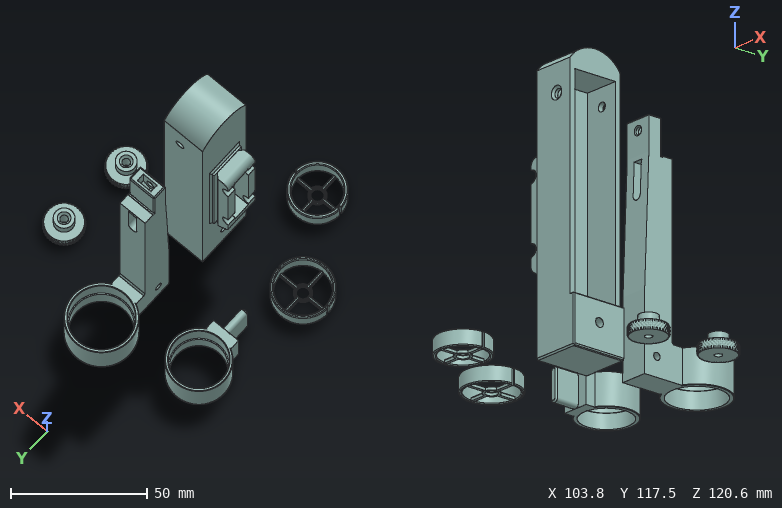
import cadquery as cq
import math


tower_height = 120.58
tower_width = 24.3
tower_depth = 18.7
dome_rise = 6.4
foot_depth = 21.1
foot_height = 21.0
foot_taper_length = 0.85
foot_taper_inset = 0.3
tower_wall = 2.25
tower_back_wall = 3.0
tower_roof = 4.0
clamp_hole_diameter = 3.75
clamp_hole_mouth = 5.65
clamp_hole_x = 11.0
clamp_hole_z = 102.4
foot_hole_diameter = 3.75
foot_hole_z = 11.9

shoe_reach = 8.5
shoe_width = 15.2
shoe_flare = 0.8
shoe_block_margin = 0.1
shoe_top = 83.2
shoe_bottom = 33.0
shoe_ramp_angle = 35.0
shoe_nose_radius = 3.0
undercut_inner_x = 1.7
undercut_outer_x = 3.55
undercut_depth = 1.8
cross_groove_radius = 2.7
cross_groove_heights = (47.0, 76.1)
channel_width = 7.4
channel_bottom = 43.2
channel_top = 79.7
channel_depth = 7.0

mount_width = 12.25
ring_chamfer = 0.25
seat_depth = 7.5

arm_x = 10.1
arm_front_y = 26.25
arm_back_y = 39.7
arm_neck_front_y = 28.3
arm_neck_back_y = 34.6
arm_height = 103.0
arm_shoulder_z = 88.0
arm_taper_bottom_z = 33.5
arm_neck_chamfer = 0.5
arm_root_chamfer = 0.7
relief_width = 0.6
relief_depth = 0.4
nut_pocket_length = 6.6
nut_pocket_width = 3.3
nut_pocket_y = 31.5
adjuster_slot_width = 4.0
adjuster_slot_top = 86.2
adjuster_slot_bottom = 70.6
neck_hole_diameter = 3.1
neck_hole_mouth = 4.0
neck_hole_z = 98.1
arm_hole_diameter = 3.1
arm_hole_y = 32.2
arm_hole_z = 8.3
big_ring_y = 57.03
big_ring_outer = 27.6
big_ring_bore = 24.0
big_ring_seat = 25.0
big_ring_height = 15.0

small_ring_x = -27.45
small_ring_y = 45.7
small_ring_outer = 25.0
small_ring_bore = 21.5
small_ring_seat = 22.5
small_ring_height = 14.0
small_block_front_y = 30.5
tongue_front_y = 19.75
tongue_width = 3.4
tongue_fillet = 1.5
tongue_end_chamfer = 0.7

crosshair_height = 6.75
crosshair_chamfer = 0.4
spoke_chamfer = 0.3
spoke_width = 1.2
spoke_height = 1.5
spoke_count = 4
hub_outer = 7.0
hub_bore = 5.0
notch_width = 1.2
notch_depth = 0.8
large_crosshair = {"outer": 24.4, "bore": 21.75, "place": (-35.77, -2.95)}
small_crosshair = {"outer": 22.6, "bore": 19.5, "place": (-14.55, -35.37)}

knob_places = ((47.85, 34.6), (45.3, 2.8))
knob_tip_diameter = 16.0
knob_root_diameter = 15.0
knob_flange_height = 4.1
knob_height = 8.1
knob_boss_diameter = 8.0
knob_bore = 3.1
knob_bore_mouth = 5.0
knurl_teeth = 36
knurl_rows = 4


def box(x_range, y_range, z_range):
    """Box given by its lowest and highest X, Y and Z."""
    lows, highs = zip(x_range, y_range, z_range)
    sizes = [high - low for low, high in zip(lows, highs)]
    return cq.Workplane("XY").box(*sizes, centered=False).translate(lows)


def cylinder_along_y(x, z, diameter, y_start, length):
    """Cylinder that starts at y_start and runs toward +Y."""
    plane = cq.Plane((x, y_start, z), xDir=(1, 0, 0), normal=(0, 1, 0))
    return cq.Workplane(plane).circle(diameter / 2).extrude(length)


def cylinder_along_x(y, z, diameter, x_start, length):
    """Cylinder that starts at x_start and runs toward +X."""
    plane = cq.Plane((x_start, y, z), xDir=(0, 1, 0), normal=(1, 0, 0))
    return cq.Workplane(plane).circle(diameter / 2).extrude(length)


def countersink(x, y, z, mouth, bore):
    """Cone with 45 degree sides, sunk from y toward +Y."""
    depth = (mouth - bore) / 2
    cone = cq.Solid.makeCone(mouth / 2, bore / 2, depth, cq.Vector(x, y, z), cq.Vector(0, 1, 0))
    return cq.Workplane(cone)


def make_column():
    half_width = tower_width / 2
    wall_top = tower_height - dome_rise
    column = (
        cq.Workplane("YZ")
        .moveTo(-half_width, 0)
        .lineTo(half_width, 0)
        .lineTo(half_width, wall_top)
        .threePointArc((0, tower_height), (-half_width, wall_top))
        .close()
        .extrude(tower_depth)
    )
    taper = math.degrees(math.atan(foot_taper_inset / foot_taper_length))
    taper_start_x = foot_depth - foot_taper_length
    foot = box((0, taper_start_x), (-half_width, half_width), (0, foot_height))
    foot_end = (
        cq.Workplane("YZ", origin=(taper_start_x, 0, foot_height / 2))
        .rect(tower_width, foot_height)
        .extrude(foot_taper_length, taper=taper)
    )
    column = column.union(foot).union(foot_end)

    above_taper = box((0, foot_depth), (-half_width, half_width), (foot_taper_length, tower_height))
    underside = (
        cq.Workplane("XY", origin=(foot_depth / 2, 0, foot_taper_length))
        .rect(foot_depth, tower_width)
        .extrude(-foot_taper_length, taper=taper)
    )
    return column.intersect(above_taper.union(underside))


def make_shoe():
    ramp = math.tan(math.radians(shoe_ramp_angle))
    nose_bottom = shoe_bottom + shoe_reach * ramp
    flared_half_width = shoe_width / 2 + shoe_flare

    side = (
        cq.Workplane("XZ")
        .polyline([
            (0, shoe_bottom),
            (0, shoe_top + shoe_flare),
            (-shoe_flare, shoe_top),
            (-undercut_inner_x, shoe_top),
            (-undercut_inner_x, shoe_top - shoe_block_margin),
            (-shoe_reach, shoe_top - shoe_block_margin),
            (-shoe_reach, nose_bottom),
        ])
        .close()
        .extrude(flared_half_width, both=True)
    )
    side = side.edges("|Y and <X").fillet(shoe_nose_radius)

    half = shoe_width / 2
    right_half = [
        (0, flared_half_width),
        (-shoe_flare, half),
        (-undercut_inner_x, half),
        (-undercut_inner_x, half - undercut_depth),
        (-undercut_outer_x, half),
        (-shoe_reach, half),
    ]
    left_half = [(x, -y) for x, y in reversed(right_half)]
    plan = cq.Workplane("XY").polyline(right_half + left_half).close().extrude(tower_height)
    shoe = side.intersect(plan)

    for height in cross_groove_heights:
        groove = cylinder_along_y(-shoe_reach, height, 2 * cross_groove_radius, -tower_width / 2, tower_width)
        shoe = shoe.cut(groove)
    channel = box(
        (-shoe_reach, channel_depth - shoe_reach),
        (-channel_width / 2, channel_width / 2),
        (channel_bottom, channel_top),
    )
    return shoe.cut(channel)


def make_tower():
    half_width = tower_width / 2
    inside = half_width - tower_wall
    cavity = box(
        (tower_back_wall, tower_depth),
        (-inside, inside),
        (foot_height, tower_height - dome_rise - tower_roof),
    )
    clamp_hole = cylinder_along_y(clamp_hole_x, clamp_hole_z, clamp_hole_diameter, -half_width, tower_width)
    clamp_mouth = countersink(
        clamp_hole_x, -half_width, clamp_hole_z, clamp_hole_mouth, clamp_hole_diameter
    )
    foot_hole = cylinder_along_x(0, foot_hole_z, foot_hole_diameter, 0, foot_depth)
    tower = make_column().cut(cavity).cut(clamp_hole).cut(clamp_mouth).cut(foot_hole)
    return tower.union(make_shoe())


def ring_blank(x, y, outer, height):
    ring = cq.Workplane("XY").center(x, y).circle(outer / 2).extrude(height)
    return ring.edges().chamfer(ring_chamfer)


def ring_opening(x, y, bore, seat, height):
    """Through bore with a wider seat and a chamfered rim at the top."""
    rim = seat / 2 + ring_chamfer
    profile = [
        (0, 0),
        (bore / 2, 0),
        (bore / 2, height - seat_depth),
        (seat / 2, height - seat_depth),
        (seat / 2, height - ring_chamfer),
        (rim, height),
        (0, height),
    ]
    opening = cq.Workplane("XZ").polyline(profile).close().revolve(360, (0, 0, 0), (0, 1, 0))
    return opening.translate((x, y, 0))


def ring_side_y(ring_y, ring_outer):
    """Y at which the sides of a block as wide as the mount run into the ring's outer wall."""
    return ring_y - math.sqrt((ring_outer / 2) ** 2 - (mount_width / 2) ** 2)


def make_post():
    """Upright of the arm: tapered front, stepped back and a chamfered neck."""
    x_range = (arm_x - mount_width / 2, arm_x + mount_width / 2)
    body = (
        cq.Workplane("YZ")
        .polyline([
            (arm_front_y, 0),
            (arm_front_y, arm_taper_bottom_z),
            (arm_neck_front_y, arm_shoulder_z),
            (arm_back_y, arm_shoulder_z),
            (arm_back_y, 0),
        ])
        .close()
        .extrude(mount_width)
        .translate((x_range[0], 0, 0))
    )
    relief = box(
        x_range,
        (arm_neck_back_y - arm_neck_chamfer, arm_neck_back_y + relief_width),
        (arm_shoulder_z - relief_depth, arm_shoulder_z),
    )
    neck = box(x_range, (arm_neck_front_y, arm_neck_back_y), (arm_shoulder_z, arm_height))
    neck = neck.edges("(|Z and >Y) or >Z").chamfer(arm_neck_chamfer)
    return body.cut(relief).union(neck)


def make_nut_pocket():
    """Well from the top of the neck, ending as a hexagonal nut seat with one corner straight down."""
    half = nut_pocket_length / 2
    corner_radius = half / math.cos(math.radians(30))
    return (
        cq.Workplane("XZ")
        .polyline([
            (-half, arm_height),
            (-half, neck_hole_z - corner_radius / 2),
            (0, neck_hole_z - corner_radius),
            (half, neck_hole_z - corner_radius / 2),
            (half, arm_height),
        ])
        .close()
        .extrude(nut_pocket_width / 2, both=True)
        .translate((arm_x, nut_pocket_y, 0))
    )


def make_adjuster_slot():
    """Slot from front to back through the arm, flat at its top and round at its bottom."""
    half = adjuster_slot_width / 2
    round_z = adjuster_slot_bottom + half
    return (
        cq.Workplane("XZ", origin=(arm_x, arm_back_y, 0))
        .moveTo(-half, adjuster_slot_top)
        .lineTo(-half, round_z)
        .threePointArc((0, adjuster_slot_bottom), (half, round_z))
        .lineTo(half, adjuster_slot_top)
        .close()
        .extrude(arm_back_y - arm_front_y)
    )


def make_arm():
    x_range = (arm_x - mount_width / 2, arm_x + mount_width / 2)
    bridge = box(x_range, (arm_back_y, ring_side_y(big_ring_y, big_ring_outer)), (0, big_ring_height))
    root_chamfer = (
        cq.Workplane("YZ")
        .polyline([
            (arm_back_y, big_ring_height),
            (arm_back_y + arm_root_chamfer, big_ring_height),
            (arm_back_y, big_ring_height + arm_root_chamfer),
        ])
        .close()
        .extrude(mount_width)
        .translate((x_range[0], 0, 0))
    )
    neck_hole = cylinder_along_y(
        arm_x, neck_hole_z, neck_hole_diameter, arm_neck_front_y, nut_pocket_y - arm_neck_front_y
    )
    neck_mouth = countersink(arm_x, arm_neck_front_y, neck_hole_z, neck_hole_mouth, neck_hole_diameter)
    arm_hole = cylinder_along_x(arm_hole_y, arm_hole_z, arm_hole_diameter, x_range[0], mount_width)
    arm = (
        make_post()
        .union(bridge)
        .union(root_chamfer)
        .union(ring_blank(arm_x, big_ring_y, big_ring_outer, big_ring_height))
    )
    for hollow in (
        ring_opening(arm_x, big_ring_y, big_ring_bore, big_ring_seat, big_ring_height),
        make_nut_pocket(),
        make_adjuster_slot(),
        neck_hole,
        neck_mouth,
        arm_hole,
    ):
        arm = arm.cut(hollow)
    return arm


def make_tongue_ring():
    ring = ring_blank(small_ring_x, small_ring_y, small_ring_outer, small_ring_height)
    block = box(
        (small_ring_x - mount_width / 2, small_ring_x + mount_width / 2),
        (small_block_front_y, ring_side_y(small_ring_y, small_ring_outer)),
        (0, small_ring_height),
    )
    tongue = box(
        (small_ring_x - tongue_width / 2, small_ring_x + tongue_width / 2),
        (tongue_front_y, small_block_front_y),
        (0, small_ring_height),
    )
    tongue = tongue.edges("|Y").fillet(tongue_fillet).faces("<Y").chamfer(tongue_end_chamfer)
    opening = ring_opening(small_ring_x, small_ring_y, small_ring_bore, small_ring_seat, small_ring_height)
    return ring.union(block).union(tongue).cut(opening)


def make_crosshair(outer, bore, place):
    rim = cq.Workplane("XY").circle(outer / 2).circle(bore / 2).extrude(crosshair_height)
    rim = rim.edges().chamfer(crosshair_chamfer)
    wall_middle = (outer + bore) / 4
    hub = cq.Workplane("XY").circle(hub_outer / 2).circle(hub_bore / 2).extrude(spoke_height)
    crosshair = rim.union(hub.faces(">Z").chamfer(spoke_chamfer))
    hub_middle = (hub_outer + hub_bore) / 4
    for index in range(spoke_count):
        spoke = box((hub_middle, wall_middle), (-spoke_width / 2, spoke_width / 2), (0, spoke_height))
        spoke = spoke.edges("|X and >Z").chamfer(spoke_chamfer)
        crosshair = crosshair.union(spoke.rotate((0, 0, 0), (0, 0, 1), index * 360 / spoke_count))
    for side in (-1, 1):
        notch = cq.Workplane("XY").box(
            2 * notch_depth, notch_width, crosshair_height, centered=(True, True, False)
        )
        crosshair = crosshair.cut(notch.translate((side * outer / 2, 0, 0)))
    return crosshair.translate((*place, 0))


def knurl_section(z, even_radius, odd_radius):
    """Closed polygon at height z whose corners alternate between two radii."""
    corners = []
    for index in range(2 * knurl_teeth):
        radius = odd_radius if index % 2 else even_radius
        angle = math.pi * index / knurl_teeth
        corners.append(cq.Vector(radius * math.cos(angle), radius * math.sin(angle), z))
    return cq.Wire.makePolygon(corners, close=True)


def make_knob(place):
    """Knob with a diamond-knurled flange: tips and roots swap places from row to row."""
    tip = knob_tip_diameter / 2
    root = knob_root_diameter / 2
    row_height = knob_flange_height / (knurl_rows + 1)
    sections = [knurl_section(0, root, root)]
    for row in range(1, knurl_rows + 1):
        even_radius, odd_radius = (tip, root) if row % 2 else (root, tip)
        sections.append(knurl_section(row * row_height, even_radius, odd_radius))
    sections.append(knurl_section(knob_flange_height, root, root))
    flange = cq.Workplane(cq.Solid.makeLoft(sections, True))
    boss = cq.Workplane("XY").circle(knob_boss_diameter / 2).extrude(knob_height)
    mouth_depth = (knob_bore_mouth - knob_bore) / 2
    bore = (
        cq.Workplane("XZ")
        .polyline([
            (0, 0),
            (knob_bore / 2, 0),
            (knob_bore / 2, knob_height - mouth_depth),
            (knob_bore_mouth / 2, knob_height),
            (0, knob_height),
        ])
        .close()
        .revolve(360, (0, 0, 0), (0, 1, 0))
    )
    return flange.union(boss).cut(bore).translate((*place, 0))


tower = make_tower()
arm = make_arm()
tongue_ring = make_tongue_ring()
crosshairs = [make_crosshair(**sizes) for sizes in (large_crosshair, small_crosshair)]
knobs = [make_knob(place) for place in knob_places]

result = cq.Compound.makeCompound([
    tower.val(),
    arm.val(),
    tongue_ring.val(),
    *[crosshair.val() for crosshair in crosshairs],
    *[knob.val() for knob in knobs],
])